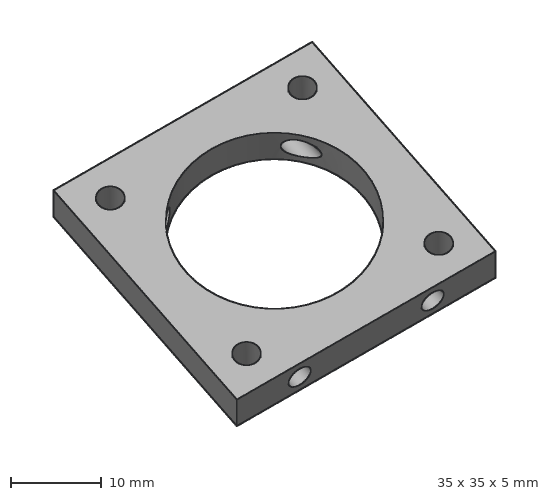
import cadquery as cq

side = 35.0
thickness = 5.0

bore_diameter = 24.0

corner_hole_diameter = 3.2
corner_hole_spacing = 26.0

cross_hole_diameter = 3.0
cross_hole_spacing = 18.0


def make_plate():
    """Square plate, centred on the origin, with its central bore and corner holes."""
    return (
        cq.Workplane("XY")
        .box(side, side, thickness)
        .faces(">Z")
        .workplane()
        .hole(bore_diameter)
        .faces(">Z")
        .workplane()
        .rect(corner_hole_spacing, corner_hole_spacing, forConstruction=True)
        .vertices()
        .hole(corner_hole_diameter)
    )


def make_cross_holes():
    """Pair of cylinders along X, spaced evenly about the plate centre in Y."""
    half_spacing = cross_hole_spacing / 2
    return (
        cq.Workplane("YZ")
        .pushPoints([(-half_spacing, 0), (half_spacing, 0)])
        .circle(cross_hole_diameter / 2)
        .extrude(side / 2, both=True)
    )


result = make_plate().cut(make_cross_holes())